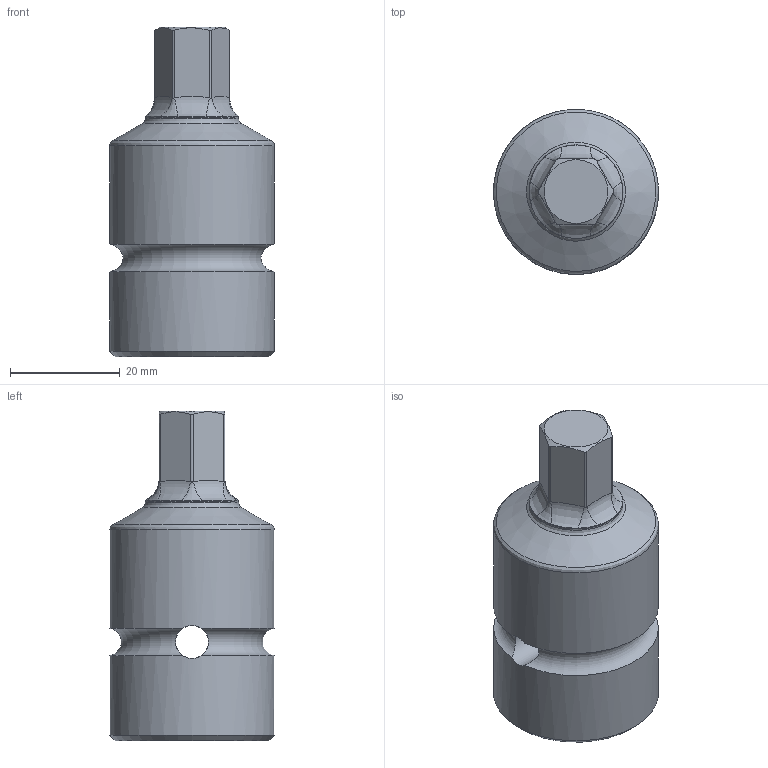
import cadquery as cq
import math

body_radius = 15.0
total_height = 60.0
bottom_chamfer = 1.0
shoulder_height = 39.0
shoulder_angle = math.radians(30)
shoulder_fillet = 1.0

collar_radius = 8.5
collar_top = 43.8
collar_fillet = 1.0
cone_top = shoulder_height + (body_radius - collar_radius) * math.tan(shoulder_angle)

groove_height = 18.0
groove_radius = 2.5
groove_depth = 2.1
pin_hole_diameter = 6.0

hex_apothem = 12.0 / 2
hex_sides = 6
hex_corner_fillet = 0.5
half_sector = math.pi / hex_sides
tip_radius = 5.8
tip_angle = math.radians(30)

flare_radius = 4.0
flare_base = collar_top - 0.2
flare_sections = 7
top_inset = 0.01

half_flat = (hex_apothem - hex_corner_fillet) * math.tan(half_sector)
corner_axis = (hex_apothem - hex_corner_fillet) / math.cos(half_sector)


def edges_at(shape, height):
    """Edges of the shape that lie at one height."""
    margin = 0.05
    reach = body_radius + margin
    box = cq.selectors.BoxSelector(
        (-reach, -reach, height - margin), (reach, reach, height + margin)
    )
    return shape.edges(box)


def make_body():
    body = (
        cq.Workplane("XZ")
        .lineTo(body_radius - bottom_chamfer, 0)
        .lineTo(body_radius, bottom_chamfer)
        .lineTo(body_radius, shoulder_height)
        .lineTo(collar_radius, cone_top)
        .lineTo(collar_radius, flare_base)
        .lineTo(0, flare_base)
        .close()
        .revolve(360, (0, 0, 0), (0, 1, 0))
    )
    body = edges_at(body, shoulder_height).fillet(shoulder_fillet)
    return edges_at(body, cone_top).fillet(collar_fillet)


def make_groove():
    center = body_radius - groove_depth + groove_radius
    return (
        cq.Workplane("XZ")
        .center(center, groove_height)
        .circle(groove_radius)
        .revolve(360, (-center, 0, 0), (-center, 1, 0))
    )


def make_pin_hole():
    return (
        cq.Workplane("YZ")
        .center(0, groove_height)
        .circle(pin_hole_diameter / 2)
        .extrude(body_radius, both=True)
    )


def make_bit():
    bit = (
        cq.Workplane(origin=(0, 0, flare_base))
        .polygon(hex_sides, 2 * hex_apothem / math.cos(half_sector))
        .extrude(total_height - flare_base)
        .edges("|Z")
        .fillet(hex_corner_fillet)
    )
    tip_drop = (body_radius - tip_radius) * math.tan(tip_angle)
    envelope = (
        cq.Workplane("XZ")
        .lineTo(body_radius, 0)
        .lineTo(body_radius, total_height - tip_drop)
        .lineTo(tip_radius, total_height)
        .lineTo(0, total_height)
        .close()
        .revolve(360, (0, 0, 0), (0, 1, 0))
    )
    return bit.intersect(envelope)


def ball_lift(center_radius):
    """Height of the ball center above the rim, from its distance to the Z axis."""
    return math.sqrt(flare_radius**2 - (center_radius - collar_radius) ** 2)


def ball_reach(depth):
    """Horizontal reach of the ball at a depth below its center, full reach above it."""
    return math.sqrt(flare_radius**2 - max(depth, 0) ** 2)


flat_center = hex_apothem + flare_radius
flat_end_radius = math.hypot(flat_center, half_flat)
corner_center = corner_axis + hex_corner_fillet + flare_radius


def polar_point(radius, angle, height):
    return cq.Vector(radius * math.cos(angle), radius * math.sin(angle), height)


def flare_section(height, inset=0.0):
    """Horizontal outline of the flare: a bulging curve per flat and an arc per corner."""
    rise = height - collar_top
    flat_depth = ball_lift(flat_center) - rise
    end_depth = ball_lift(flat_end_radius) - rise
    corner_depth = ball_lift(corner_center) - rise

    end_overhang = flat_end_radius - collar_radius
    lean = end_overhang * (half_flat / flat_end_radius) / ball_lift(flat_end_radius)

    flat_x = flat_center - ball_reach(flat_depth) - inset
    end_x = flat_center - ball_reach(end_depth * math.hypot(1, lean)) - inset
    end_y = half_flat - lean * max(end_depth, 0)
    end_radius = math.hypot(end_x, end_y)
    end_angle = math.atan2(end_y, end_x)
    corner_radius = corner_center - ball_reach(corner_depth) - inset

    edges = []
    for side in range(hex_sides):
        facing = (2 * side + 1) * half_sector
        next_facing = facing + 2 * half_sector
        flat_start = polar_point(end_radius, facing - end_angle, height)
        flat_middle = polar_point(flat_x, facing, height)
        flat_end = polar_point(end_radius, facing + end_angle, height)
        corner = polar_point(corner_radius, facing + half_sector, height)
        next_start = polar_point(end_radius, next_facing - end_angle, height)
        edges.append(cq.Edge.makeSpline([flat_start, flat_middle, flat_end]))
        edges.append(cq.Edge.makeThreePointArc(flat_end, corner, next_start))
    return cq.Wire.assembleEdges(edges)


def make_flare():
    corner_contact = collar_top + ball_lift(corner_center)
    flat_contact = collar_top + ball_lift(flat_center)
    spacing = (corner_contact - flare_base) / (flare_sections - 1)
    sections = [flare_section(flare_base + step * spacing) for step in range(flare_sections)]
    sections.append(flare_section(flat_contact, top_inset))
    flare = cq.Workplane(cq.Solid.makeLoft(sections))
    rim = cq.Workplane(origin=(0, 0, flare_base)).circle(collar_radius).extrude(flare_radius)
    return flare.intersect(rim)


body = make_body().cut(make_groove()).cut(make_pin_hole())
result = body.union(make_flare()).union(make_bit())